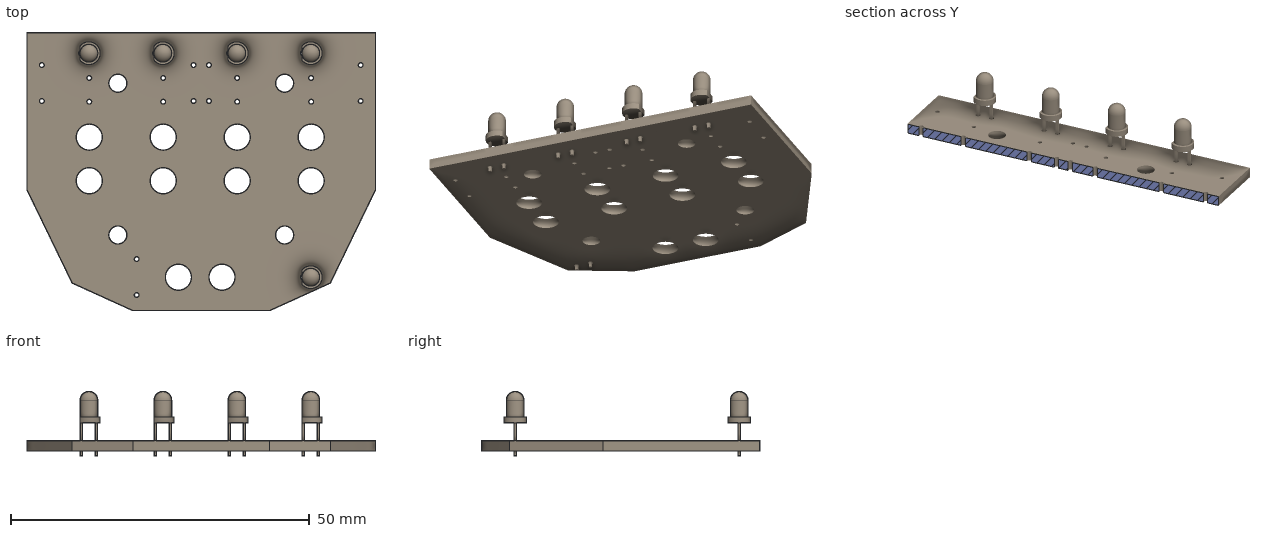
import cadquery as cq
import math

board_width = 58.4
board_depth = 46.55
board_thickness = 1.75
side_length = 26.3
shoulder_half_width = 21.6
shoulder_depth = 41.95
front_half_width = 11.45

column_pitch = 12.4
column_count = 4
column_shift = -0.2
first_column = column_shift - column_pitch * (column_count - 1) / 2
column_x = [first_column + i * column_pitch for i in range(column_count)]
back_led_y = -3.45
front_row_y = -40.95

large_hole_diameter = 4.3
large_pair_pitch = 7.3
large_pair_middle_y = -21.15

mount_hole_diameter = 3.0
mount_half_spacing = 13.95
mount_hole_y = [-8.5, -33.9]

long_lead_hole_diameter = 0.75
long_lead_pitch = 6.0
long_pair_back_y = -5.45
outer_pair_x = 26.7
inner_pair_x = 1.3
front_pair_x = -10.8
front_pair_back_y = -37.9
short_lead_hole_diameter = 0.75
short_lead_pitch = 4.0
short_pair_back_y = -7.6
leg_hole_diameter = 0.9

lens_diameter = 3.0
lens_radius = lens_diameter / 2
head_height = 5.25
flange_diameter = 3.8
flange_thickness = 1.0
flange_clearance = 3.0
leg_width = 0.44
leg_pitch = 2.5
leg_protrusion = 0.8
led_offset = -0.05

led_x = [x + led_offset for x in column_x]
led_places = [(x, back_led_y) for x in led_x] + [(led_x[-1], front_row_y)]


def leg_places():
    return [(x + side * leg_pitch / 2, y) for x, y in led_places for side in (-1, 1)]


def drill(board, places, diameter):
    tool = cq.Workplane("XY").pushPoints(places).circle(diameter / 2).extrude(board_thickness)
    return board.cut(tool)


def make_board():
    right_side = [
        (board_width / 2, 0),
        (board_width / 2, -side_length),
        (shoulder_half_width, -shoulder_depth),
        (front_half_width, -board_depth),
    ]
    left_side = [(-x, y) for x, y in reversed(right_side)]
    board = cq.Workplane("XY").polyline(right_side + left_side).close().extrude(board_thickness)

    half_pitch = large_pair_pitch / 2
    large_holes = [(x, large_pair_middle_y + side * half_pitch) for x in column_x for side in (-1, 1)]
    large_holes += [(column_shift + side * half_pitch, front_row_y) for side in (-1, 1)]
    board = drill(board, large_holes, large_hole_diameter)

    mount_holes = [(side * mount_half_spacing, y) for side in (-1, 1) for y in mount_hole_y]
    board = drill(board, mount_holes, mount_hole_diameter)

    long_pairs = [(x, long_pair_back_y) for x in (-outer_pair_x, -inner_pair_x, inner_pair_x, outer_pair_x)]
    long_pairs.append((front_pair_x, front_pair_back_y))
    long_holes = [(x, y - step) for x, y in long_pairs for step in (0, long_lead_pitch)]
    board = drill(board, long_holes, long_lead_hole_diameter)

    short_holes = [(x, short_pair_back_y - step) for x in column_x for step in (0, short_lead_pitch)]
    board = drill(board, short_holes, short_lead_hole_diameter)

    return drill(board, leg_places(), leg_hole_diameter)


def make_led(x, y):
    flange_bottom = board_thickness + flange_clearance
    flange_top = flange_bottom + flange_thickness
    dome_base = flange_bottom + head_height - lens_radius

    flat_half_length = math.sqrt((flange_diameter / 2) ** 2 - lens_radius ** 2)
    flange = (
        cq.Workplane("XY", origin=(x, y, flange_bottom))
        .moveTo(-lens_radius, -flat_half_length)
        .threePointArc((flange_diameter / 2, 0), (-lens_radius, flat_half_length))
        .close()
        .extrude(flange_thickness)
    )

    lens = (
        cq.Workplane("XZ", origin=(x, y, 0))
        .moveTo(0, flange_top)
        .lineTo(lens_radius, flange_top)
        .lineTo(lens_radius, dome_base)
        .radiusArc((0, dome_base + lens_radius), -lens_radius)
        .close()
        .revolve(360, (0, 0, 0), (0, 1, 0))
    )

    legs = (
        cq.Workplane("XY", origin=(x, y, -leg_protrusion))
        .pushPoints([(-leg_pitch / 2, 0), (leg_pitch / 2, 0)])
        .rect(leg_width, leg_width)
        .extrude(leg_protrusion + flange_bottom)
    )
    return flange.union(lens).union(legs)


board = make_board()
leds = [make_led(x, y) for x, y in led_places]

result = cq.Compound.makeCompound([board.val(), *[led.val() for led in leds]])